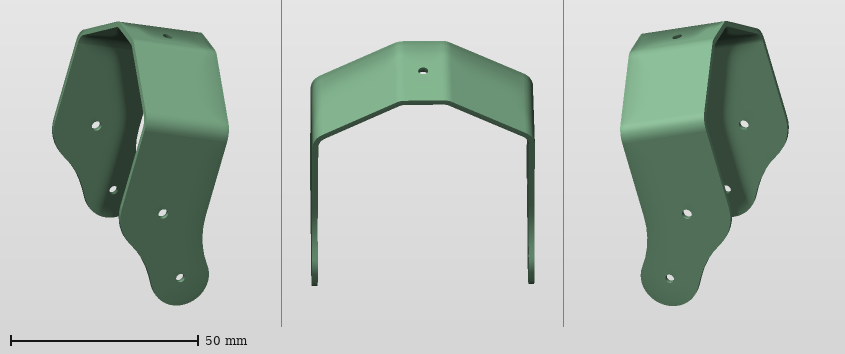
import cadquery as cq
import math

width = 59.45
thickness = 1.5
strip_depth = 24.15
crown_height = 56.7
tilt = 16.0
slope = 29.7
crown_half_width = 6.4
shoulder_bend_radius = 3.5
crown_bend_radius = 3.0

foot_radius = 8.0
heel_radius = strip_depth / 2
neck_radius = 24.0
neck_lean = 29.0
foot_hole_diameter = 2.4
heel_hole_diameter = 2.7
crown_hole_diameter = 2.7
heel_y = -10.0
heel_z = 17.6

front_y = heel_y - strip_depth / 2
back_y = heel_y + strip_depth / 2
half_width = width / 2
arch_depth = 3 * strip_depth


def polar(center, radius, degrees):
    """Point at a distance and direction from a centre; 0 degrees is +Y, 90 is +Z."""
    angle = math.radians(degrees)
    return (center[0] + radius * math.cos(angle), center[1] + radius * math.sin(angle))


def direction(start, end):
    """Direction from one point to another, in degrees."""
    return math.degrees(math.atan2(end[1] - start[1], end[0] - start[0]))


def arch(inset):
    """Solid arch whose faces lie the given inset inside the outer faces of the bracket."""
    shoulder_z = crown_height - (half_width - crown_half_width) * math.tan(math.radians(slope))
    side_x = half_width - inset
    side_z = shoulder_z - inset * math.tan(math.radians((90 - slope) / 2))
    top_x = crown_half_width - inset * math.tan(math.radians(slope / 2))
    top_z = crown_height - inset
    bottom_z = -2 * foot_radius
    points = [(side_x, bottom_z), (side_x, side_z), (top_x, top_z),
              (-top_x, top_z), (-side_x, side_z), (-side_x, bottom_z)]
    solid = cq.Workplane("XZ").polyline(points).close().extrude(arch_depth / 2, both=True)
    growth = thickness - inset
    solid = solid.edges("|Y and >Z").fillet(crown_bend_radius + growth)
    for side in (-1, 1):
        corner = (side * side_x, 0, side_z)
        shoulder_edge = cq.selectors.NearestToPointSelector(corner)
        solid = solid.edges("|Y").edges(shoulder_edge).fillet(shoulder_bend_radius + growth)
    return solid



def leg_outline():
    """Side outline: straight strip, rounded heel, necked-in lower leg and round foot."""
    foot = (0, 0)
    heel = (heel_y, heel_z)

    back_y_center = back_y + neck_radius
    back_center = (back_y_center, math.sqrt((neck_radius + foot_radius) ** 2 - back_y_center ** 2))
    back_start = (back_y, back_center[1])
    back_angle = direction(foot, back_center)
    back_end = polar(foot, foot_radius, back_angle)
    back_middle = polar(back_center, neck_radius, (180 + back_angle + 180) / 2)

    normal = 180 + neck_lean
    normal_angle = math.radians(normal)
    heel_across = heel_y * math.cos(normal_angle) + heel_z * math.sin(normal_angle)
    heel_along = heel_y * math.sin(normal_angle) - heel_z * math.cos(normal_angle)
    center_across = foot_radius + neck_radius
    center_along = heel_along - math.sqrt(
        (heel_radius + neck_radius) ** 2 - (center_across - heel_across) ** 2)
    front_center = polar(polar(foot, center_across, normal), center_along, normal - 90)
    heel_angle = direction(heel, front_center) % 360
    straight_bottom = polar(foot, foot_radius, normal)
    straight_top = polar(front_center, neck_radius, neck_lean)
    heel_end = polar(heel, heel_radius, heel_angle)
    front_middle = polar(front_center, neck_radius, (neck_lean + heel_angle - 180) / 2)

    return (
        cq.Workplane("YZ", origin=(-half_width, 0, 0))
        .moveTo(front_y, crown_height)
        .lineTo(front_y, heel_z)
        .threePointArc(polar(heel, heel_radius, (180 + heel_angle) / 2), heel_end)
        .threePointArc(front_middle, straight_top)
        .lineTo(*straight_bottom)
        .threePointArc(polar(foot, foot_radius, (normal + back_angle + 360) / 2), back_end)
        .threePointArc(back_middle, back_start)
        .lineTo(back_y, crown_height)
        .close()
        .extrude(width)
    )


def leg_hole(y, z, diameter):
    """Cutter for a hole through both legs."""
    return cq.Workplane("YZ", origin=(-half_width, y, z)).circle(diameter / 2).extrude(width)


bracket = arch(0).cut(arch(thickness))
bracket = bracket.intersect(leg_outline())
bracket = bracket.cut(leg_hole(0, 0, foot_hole_diameter))
bracket = bracket.cut(leg_hole(heel_y, heel_z, heel_hole_diameter))

crown_hole = (
    cq.Workplane("XY", origin=(0, heel_y, crown_height - thickness))
    .circle(crown_hole_diameter / 2)
    .extrude(thickness)
)
bracket = bracket.cut(crown_hole)

result = bracket.rotate((0, 0, 0), (1, 0, 0), -tilt)